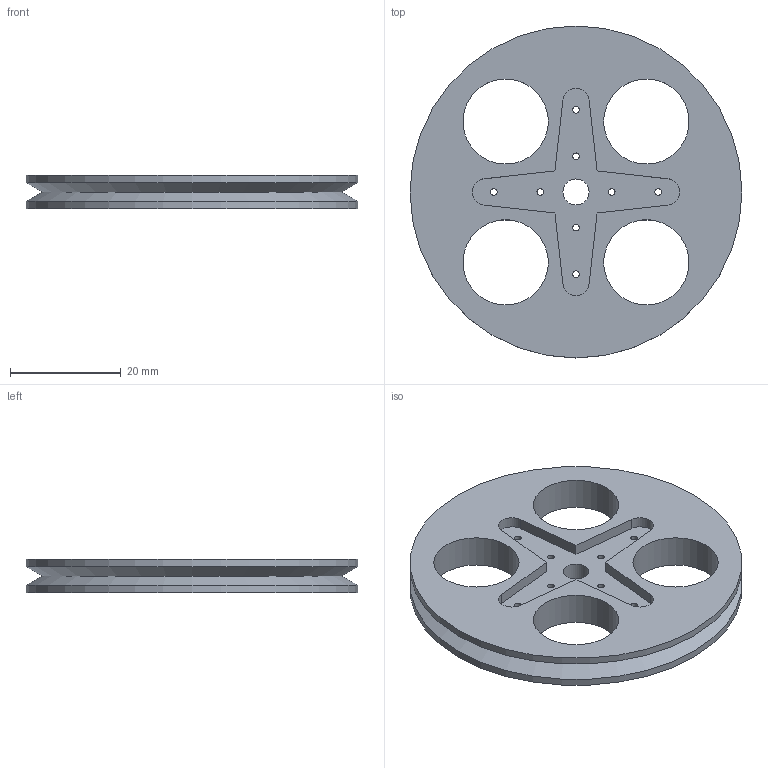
import cadquery as cq
import math

wheel_diameter = 60.0
wheel_thickness = 6.0
wheel_radius = wheel_diameter / 2

rim_land_height = 1.3
groove_flank_angle = 30.0
groove_half_width = wheel_thickness / 2 - rim_land_height
groove_depth = groove_half_width / math.tan(math.radians(groove_flank_angle))

bore_diameter = 4.7
window_diameter = 15.4
window_circle_radius = 18.0
arm_count = 4
arm_spacing = 360 / arm_count

pocket_depth = 2.0
arm_reach = 18.75
arm_tip_radius = 2.4
inner_corner_offset = 3.8
screw_hole_diameter = 1.2
screw_hole_radii = (6.45, 14.85)


def make_grooved_disc():
    """Disc with a V groove, revolved about Z and standing on Z = 0."""
    mid_height = wheel_thickness / 2
    profile = (
        cq.Workplane("XZ")
        .lineTo(wheel_radius, 0)
        .lineTo(wheel_radius, rim_land_height)
        .lineTo(wheel_radius - groove_depth, mid_height)
        .lineTo(wheel_radius, wheel_thickness - rim_land_height)
        .lineTo(wheel_radius, wheel_thickness)
        .lineTo(0, wheel_thickness)
        .close()
    )
    return profile.revolve(360, (0, 0, 0), (0, 1, 0))


def make_pocket_arm():
    """Pocket arm along +X: straight tapering sides tangent to a round tip."""
    tip_center_x = arm_reach - arm_tip_radius
    corner = inner_corner_offset
    run = tip_center_x - corner
    corner_distance = math.hypot(run, corner)
    corner_direction = math.pi - math.atan2(corner, run)
    tangent_angle = corner_direction - math.acos(arm_tip_radius / corner_distance)
    tangent_x = tip_center_x + arm_tip_radius * math.cos(tangent_angle)
    tangent_y = arm_tip_radius * math.sin(tangent_angle)
    return (
        cq.Workplane("XY", origin=(0, 0, wheel_thickness - pocket_depth))
        .lineTo(corner, corner)
        .lineTo(tangent_x, tangent_y)
        .threePointArc((arm_reach, 0), (tangent_x, -tangent_y))
        .lineTo(corner, -corner)
        .close()
        .extrude(pocket_depth)
    )


def cut_pocket(body):
    arm = make_pocket_arm()
    for index in range(arm_count):
        body = body.cut(arm.rotate((0, 0, 0), (0, 0, 1), index * arm_spacing))
    return body


def cut_hole_circle(body, circle_radius, diameter, start_angle):
    """Through holes evenly spaced on a circle, one per pocket arm."""
    holes = (
        cq.Workplane("XY")
        .polarArray(circle_radius, start_angle, 360, arm_count)
        .circle(diameter / 2)
        .extrude(wheel_thickness)
    )
    return body.cut(holes)


def cut_bore(body):
    bore = cq.Workplane("XY").circle(bore_diameter / 2).extrude(wheel_thickness)
    return body.cut(bore)


wheel = make_grooved_disc()
wheel = cut_pocket(wheel)
wheel = cut_bore(wheel)
wheel = cut_hole_circle(wheel, window_circle_radius, window_diameter, arm_spacing / 2)
for hole_radius in screw_hole_radii:
    wheel = cut_hole_circle(wheel, hole_radius, screw_hole_diameter, 0)

result = wheel